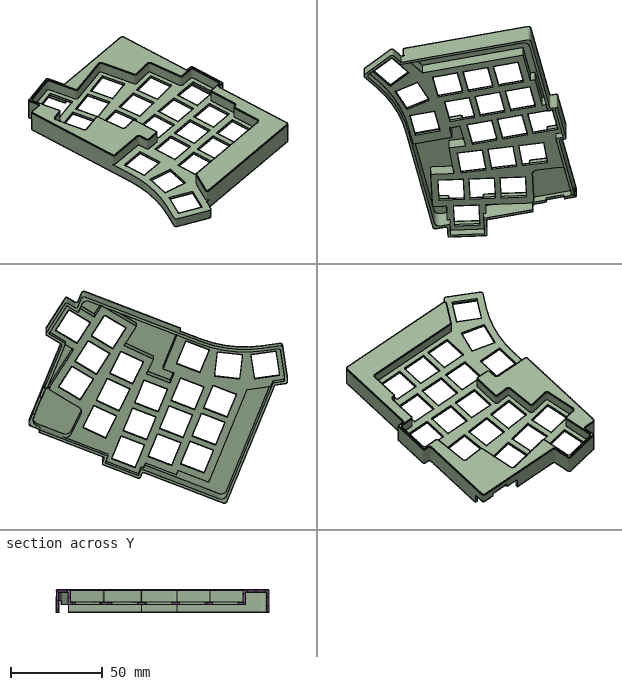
import cadquery as cq
import math

case_height = 12.5
plate_top = 5.7
plate_thickness = 1.5
wall = 1.5
plate_bottom = plate_top - plate_thickness
ceiling = case_height - wall

key_opening = 13.8
column_pitch = 18.0
row_pitch = 17.0
rows = 3
thumb_keys = 3
cell_side_margin = 0.7
cell_end_margin = 0.8
cell_half_width = column_pitch / 2 + cell_side_margin
cell_half_depth = row_pitch / 2 + cell_end_margin

pinky_column = (21.4, 14.7, 10)
ring_column = (37.9, 29.8, 4)
middle_column = (56.2, 39.8, 0)
index_column = (middle_column[0] + column_pitch, 31.3, 0)
inner_column = (index_column[0] + column_pitch, 28.6, 0)
columns = [pinky_column, ring_column, middle_column, index_column, inner_column]
outer_key = (2.1, 19.1, pinky_column[2])

thumb_x = 69.2
thumb_arc_radius = 66.0
thumb_step = 15
thumb_front = cell_half_depth + wall
thumb_back = 10.9
thumb_side = 11.1
thumb_bridge = 8.0
thumb_end = 11.0

deck_width = 116.3
deck_depth = 80.4

recess_corner_radius = 1.2
small_corner_radius = 0.9
deck_corner_radius = 1.6
hollow_corner_radius = 3.2
thumb_corner_radius = 1.5
rim_chamfer = 0.4

board_opening_height = 6.5
board_opening_near = 0.3
board_opening_far = 24.5
board_opening_radius = 1.2
rear_opening_end = 6.6
plug_width = 10.1
plug_top = 8.5
plug_centre = 12.1
plug_radius = 0.8

overlap = 3.3
reach = 39.8


def block(place, left, right, front, back, height):
    """Upright block with its sides at the given distances from a leaning key place."""
    x, y, lean = place
    return (
        cq.Workplane("XY")
        .box(left + right, front + back, height, centered=False)
        .translate((-left, -front, 0))
        .rotate((0, 0, 0), (0, 0, 1), lean)
        .translate((x, y, 0))
    )


def row_place(column, row):
    x, y, lean = column
    angle = math.radians(lean)
    distance = row * row_pitch
    return (x - distance * math.sin(angle), y + distance * math.cos(angle), lean)


def thumb_place(index):
    angle = math.radians(index * thumb_step)
    radius = thumb_arc_radius + thumb_front
    x = thumb_x + radius * math.sin(angle)
    y = radius * math.cos(angle) - thumb_arc_radius
    return (x, y, -index * thumb_step)


def key_cell(place, margin, height):
    side = cell_half_width + margin
    depth = cell_half_depth + margin
    return block(place, side, side, depth, depth, height)


def upright_edge(x, y, size=1.3):
    """Selector of the upright edges whose middle lies near x, y."""
    return cq.selectors.BoxSelector((x - size, y - size, 0), (x + size, y + size, 2 * case_height))


def make_recess(margin):
    """Space of the sunken key area, standing on z = 0, its sides moved outward by margin."""
    height = case_height
    side = cell_half_width + margin
    depth = cell_half_depth + margin
    back = depth + (rows - 1) * row_pitch
    area = key_cell(outer_key, margin, height)
    for column in (pinky_column, ring_column, middle_column):
        area = area.union(block(column, side, side, depth, back, height))
    for column in (pinky_column, ring_column):
        place = row_place(column, 1)
        area = area.union(block(place, 0, side + overlap, cell_half_depth, depth + row_pitch, height))
    for column in (index_column, inner_column):
        area = area.union(block(column, side, side, 2 * cell_half_depth, back, height))
    thumb_left = thumb_side + margin
    back = thumb_back + margin
    area = area.union(block(thumb_place(0), thumb_left, thumb_side, reach, back, height))
    area = area.union(block(thumb_place(1), thumb_side, thumb_bridge, reach, back, height))
    area = area.union(block(thumb_place(2), thumb_side + overlap, reach, reach, back, height))
    return area.clean()


def make_thumb_block(inset, height):
    """Thumb area with its arched front edge, its outer sides moved inward by inset."""
    x, y, lean = thumb_place(thumb_keys - 1)
    turn = math.radians(-lean)

    def on_arc(angle):
        radius = thumb_arc_radius + inset
        return (thumb_x + radius * math.sin(angle), radius * math.cos(angle) - thumb_arc_radius)

    def from_last_key(along, across):
        return (
            x + along * math.cos(turn) + across * math.sin(turn),
            y - along * math.sin(turn) + across * math.cos(turn),
        )

    front_tip = from_last_key(thumb_end - inset, inset - thumb_front)
    back_tip = from_last_key(thumb_end - inset, thumb_back - inset)
    area = (
        cq.Workplane("XY")
        .moveTo(*on_arc(0))
        .threePointArc(on_arc(turn / 2), on_arc(turn))
        .lineTo(*front_tip)
        .lineTo(*back_tip)
        .lineTo(*from_last_key(-thumb_side, thumb_back - inset))
        .lineTo(thumb_x, thumb_back)
        .close()
        .extrude(height)
    )
    for tip in (front_tip, back_tip):
        area = area.edges("|Z").edges(upright_edge(*tip)).fillet(thumb_corner_radius)
    return area


def make_raised_block(inset, height):
    """Deck, outer key and back of the middle column, their sides moved inward by inset."""
    width = deck_width - 2 * inset
    depth = deck_depth - 2 * inset
    area = cq.Workplane("XY").box(width, depth, height, centered=False).translate((inset, inset, 0))
    for place in (outer_key, row_place(middle_column, rows - 1)):
        area = area.union(key_cell(place, wall - inset, height))
    return area.clean()


def corners_of_deck():
    return (
        upright_edge(0, 0, 2.7)
        + upright_edge(0, deck_depth, 2.7)
        + upright_edge(deck_width, deck_depth, 2.7)
    )


def make_raised_hollow(height):
    """Space inside the walls of the deck, outer key and middle column."""
    hollow = make_raised_block(wall, height)
    return hollow.edges("|Z").edges(corners_of_deck()).fillet(hollow_corner_radius)


def make_deck_hollow():
    """Space inside the deck that leaves walls around the sunken key area."""
    hollow = make_raised_hollow(ceiling).cut(make_recess(wall))
    side = cell_half_width + wall
    hollow = hollow.cut(block(ring_column, side, side, 0, deck_depth, case_height))
    bay_right = ring_column[0] - side
    bay_corners = cq.selectors.BoxSelector(
        (bay_right - 2 * overlap, deck_depth / 2, 0), (bay_right + overlap, deck_depth, case_height)
    )
    return hollow.edges("|Z").edges(bay_corners).fillet(hollow_corner_radius)


def make_key_openings():
    places = [outer_key]
    places += [row_place(column, row) for column in columns for row in range(rows)]
    places += [thumb_place(index) for index in range(thumb_keys)]
    half = key_opening / 2
    openings = cq.Workplane("XY")
    for place in places:
        openings = openings.add(block(place, half, half, half, half, case_height))
    return openings


def make_board_openings():
    """Side opening with a plug notch above it, and the rear opening that meets it at the corner."""
    length = board_opening_far - board_opening_near
    middle = deck_depth - (board_opening_near + board_opening_far) / 2
    side = (
        cq.Workplane("XY")
        .box(2 * overlap, length, board_opening_height, centered=(True, True, False))
        .edges("|X and >Z")
        .fillet(board_opening_radius)
        .translate((0, middle, 0))
    )
    plug = (
        cq.Workplane("XY")
        .box(2 * overlap, plug_width, plug_top, centered=(True, True, False))
        .edges("|X and >Z")
        .fillet(plug_radius)
        .translate((0, deck_depth - plug_centre, 0))
    )
    length = rear_opening_end - board_opening_near
    rear = (
        cq.Workplane("XY")
        .box(length, 2 * overlap, board_opening_height, centered=(False, True, False))
        .edges("|Y and >Z")
        .fillet(board_opening_radius)
        .translate((board_opening_near, deck_depth, 0))
    )
    return side.union(plug).union(rear)


case = make_raised_block(0, case_height)
corner_at_thumb = upright_edge(deck_width, 0)
other_edges = cq.StringSyntaxSelector("|Z") - corners_of_deck() - corner_at_thumb
case = case.edges(other_edges).fillet(small_corner_radius)
case = case.edges("|Z").edges(corners_of_deck()).fillet(deck_corner_radius)

recess = make_recess(0).edges("|Z").fillet(recess_corner_radius)
case = case.cut(recess.translate((0, 0, plate_top)))

deck_front_end = upright_edge(thumb_x - thumb_side, 0, 0.3)
deck_right_end = upright_edge(deck_width, thumb_back, thumb_back / 2)
case = case.edges("|Z").edges(deck_front_end).fillet(small_corner_radius)
case = case.edges("|Z").edges(deck_right_end).fillet(recess_corner_radius)

case = case.faces(">Z").edges().chamfer(rim_chamfer)
case = case.union(make_thumb_block(0, plate_top)).clean()

case = case.cut(make_raised_hollow(plate_bottom))
case = case.cut(make_thumb_block(wall, plate_bottom))
case = case.cut(make_deck_hollow())

for opening in make_key_openings().vals():
    case = case.cut(cq.Workplane(opening))
case = case.cut(make_board_openings())

result = case